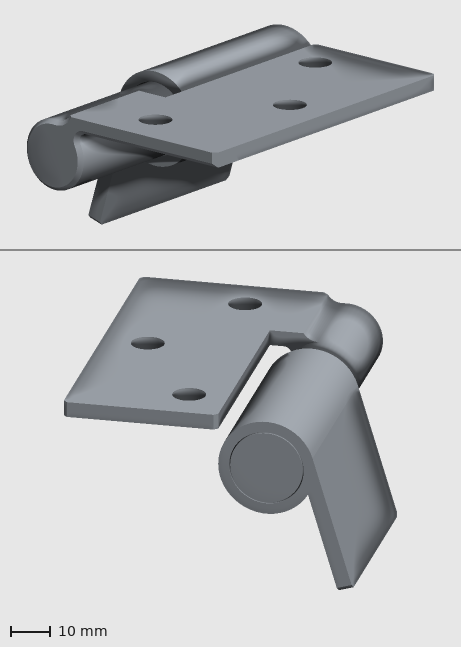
import cadquery as cq
import math

total_length = 91.4
sheet_thickness = 4.0
corner_chamfer = 1.0

sleeve_radius = 12.5
bore_radius = 9.7
sleeve_start = 40.5
flap_length = 36.1
flap_tilt = 16.8

pin_radius = 9.4
end_chamfer = 1.1
plate_right = 53.8
plate_left = 13.7
plate_length = 87.1
plate_top = 11.4
tab_width = 28.15
tab_edge = 4.9
upper_root_radius = 4.4
lower_root_radius = 2.0

hole_diameter = 8.6
hole_spacing = 31.4
near_hole_x = 23.85
far_hole_x = 41.9


def prism(profile, start, end):
    """Extrude a profile drawn in X, Z along Y from start to end."""
    return profile.extrude(-(end - start)).translate((0, start, 0))


def cylinder(radius, start, end):
    return prism(cq.Workplane("XZ").circle(radius), start, end)


def make_sleeve_leaf():
    flap = (
        cq.Workplane("XY")
        .box(sheet_thickness, total_length - sleeve_start, flap_length, centered=False)
        .translate((-sleeve_radius, sleeve_start, -flap_length))
        .faces("<Z")
        .edges("|X")
        .chamfer(corner_chamfer)
        .rotate((0, 0, 0), (0, 1, 0), flap_tilt)
    )
    sleeve = cylinder(sleeve_radius, sleeve_start, total_length)
    bore = cylinder(bore_radius, sleeve_start, total_length)
    return sleeve.union(flap).cut(bore)


def toward(center, target, distance):
    """Point at a distance from center in the direction of target."""
    span = math.dist(center, target)
    return tuple(c + (t - c) * distance / span for c, t in zip(center, target))


def arc_middle(center, start, end):
    """Midpoint of the short arc from start to end about center."""
    chord_middle = ((start[0] + end[0]) / 2, (start[1] + end[1]) / 2)
    return toward(center, chord_middle, math.dist(center, start))


def make_tab():
    """Flat tab reaching into the pin, with a concave root arc above and below."""
    axis = (0.0, 0.0)
    plate_bottom = plate_top - sheet_thickness

    lower_z = plate_bottom - lower_root_radius
    lower_x = math.sqrt((pin_radius + lower_root_radius) ** 2 - lower_z**2)
    lower_center = (lower_x, lower_z)
    lower_plate_point = (lower_x, plate_bottom)
    lower_pin_point = toward(lower_center, axis, lower_root_radius)
    lower_middle = arc_middle(lower_center, lower_plate_point, lower_pin_point)

    upper_edge = (tab_edge, plate_top)
    upper_reach = pin_radius + upper_root_radius
    edge_distance = math.hypot(*upper_edge)
    turn = math.acos(
        (upper_reach**2 + edge_distance**2 - upper_root_radius**2) / (2 * upper_reach * edge_distance)
    )
    upper_angle = math.atan2(plate_top, tab_edge) + turn
    upper_center = (upper_reach * math.cos(upper_angle), upper_reach * math.sin(upper_angle))
    upper_pin_point = toward(upper_center, axis, upper_root_radius)
    upper_middle = arc_middle(upper_center, upper_edge, upper_pin_point)

    profile = (
        cq.Workplane("XZ")
        .moveTo(*upper_edge)
        .lineTo(plate_right, plate_top)
        .lineTo(plate_right, plate_bottom)
        .lineTo(*lower_plate_point)
        .threePointArc(lower_middle, lower_pin_point)
        .lineTo(*axis)
        .lineTo(*upper_pin_point)
        .threePointArc(upper_middle, upper_edge)
        .close()
    )
    return prism(profile, 0, tab_width)


def chamfer_pin_end(body):
    """Bevel the outline of the free end, leaving the flat top of the tab sharp."""
    outline = body.faces("<Y").edges()
    beveled = outline.filter(lambda edge: edge.Center().z < plate_top - end_chamfer / 2)
    return beveled.chamfer(end_chamfer)


def make_plate():
    return (
        cq.Workplane("XY")
        .box(plate_right - plate_left, plate_length - tab_width, sheet_thickness, centered=False)
        .translate((plate_left, tab_width, plate_top - sheet_thickness))
        .faces(">Y")
        .edges("|Z")
        .chamfer(corner_chamfer)
    )


def make_screw_holes():
    middle = plate_length / 2
    points = [
        (near_hole_x, middle - hole_spacing),
        (far_hole_x, middle),
        (near_hole_x, middle + hole_spacing),
    ]
    return cq.Workplane("XY").pushPoints(points).circle(hole_diameter / 2).extrude(plate_top)


def make_pin_leaf():
    pin = cylinder(pin_radius, 0, total_length)
    pin_with_tab = chamfer_pin_end(pin.union(make_tab()))
    return pin_with_tab.union(make_plate()).cut(make_screw_holes())


sleeve_leaf = make_sleeve_leaf()
pin_leaf = make_pin_leaf()
result = cq.Compound.makeCompound([sleeve_leaf.val(), pin_leaf.val()])